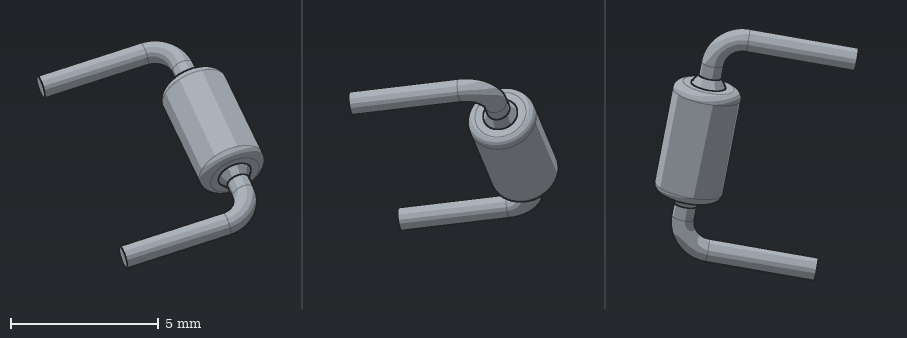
import cadquery as cq

overall_length = 8.41
lead_diameter = 0.8
body_diameter = 2.38
body_length = 4.0
body_edge_radius = 0.3
collar_base_radius = 0.6
collar_length = 0.32
bend_radius = 1.02
lead_reach = 4.785

lead_radius = lead_diameter / 2
lead_offset = overall_length / 2 - lead_radius
bend_start = lead_offset - bend_radius
body_end = body_length / 2


def make_body():
    """Cylindrical body with rounded end edges."""
    end_face = cq.Workplane("YZ", origin=(-body_end, 0, 0))
    cylinder = end_face.circle(body_diameter / 2).extrude(body_length)
    return cylinder.edges("%CIRCLE").fillet(body_edge_radius)


def make_collars():
    """Cones that taper from each body end face down to the lead."""
    collar_tip = body_end + collar_length
    profile = [
        (-collar_tip, 0),
        (-collar_tip, lead_radius),
        (-body_end, collar_base_radius),
        (body_end, collar_base_radius),
        (collar_tip, lead_radius),
        (collar_tip, 0),
    ]
    return cq.Workplane("XY").polyline(profile).close().revolve(360, (0, 0, 0), (1, 0, 0))


def make_lead_wire():
    """One round wire through the body, bent toward -Y at both ends."""
    path = (
        cq.Workplane("XY")
        .moveTo(-lead_offset, -lead_reach)
        .lineTo(-lead_offset, -bend_radius)
        .tangentArcPoint((-bend_start, 0), relative=False)
        .lineTo(bend_start, 0)
        .tangentArcPoint((lead_offset, -bend_radius), relative=False)
        .lineTo(lead_offset, -lead_reach)
    )
    cut_end = cq.Workplane("XZ", origin=(-lead_offset, -lead_reach, 0))
    return cut_end.circle(lead_radius).sweep(path)


result = make_body().union(make_collars()).union(make_lead_wire())